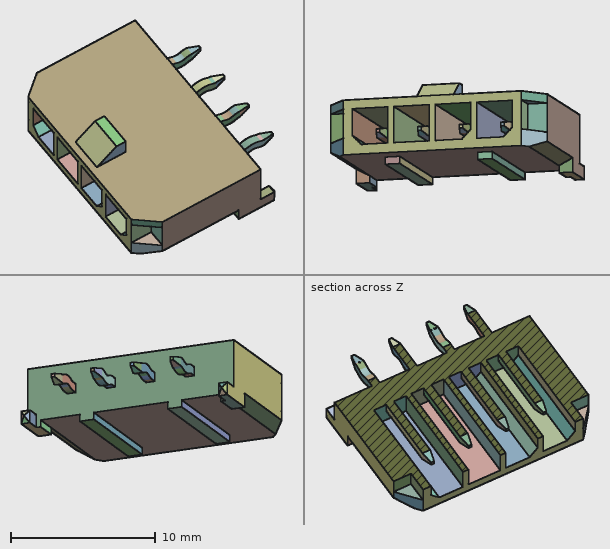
import cadquery as cq
import math


body_width = 15.65
body_depth = 9.9
body_height = 3.87
half_width = body_width / 2
corner_cut_x = 1.4
corner_cut_y = 1.67
bottom_bevel_width = 0.98
bottom_bevel_height = 0.52
bottom_bevel_end_y = 8.06

pin_pitch = 3.0
pin_size = 0.64
pin_tip_size = 0.24
pin_z = 1.97
pin_front_y = 2.0
pin_back_y = 13.08
pin_taper_length = 0.88
cavity_size = 2.55
cavity_bottom_z = 0.68
cavity_top_z = cavity_bottom_z + cavity_size
cavity_depth = 7.9
cavity_key = 0.65
cavity_key_sides = [-1, 0, 1, 1]
pin_count = len(cavity_key_sides)

kink_center_y = 11.29
kink_angle = math.radians(25)
kink_crest_inner_radius = 0.83
kink_end_inner_radius = 0.67

corner_pocket_bottom_z = 1.18

latch_width = 2.66
latch_height = 1.2
latch_foot_y = 0.55
latch_crest_y = 2.19
latch_back_y = 2.96

standoff_height = 0.5
rib_width = 1.05
rib_center_x = 3.335
rib_front_y = 1.61
peg_width = 0.66
peg_top_z = 0.43
peg_shoulder_y = 11.02
peg_tip_y = 11.3
peg_point_size = 0.01


def block(x0, x1, y0, y1, z0, z1):
    """Axis-aligned box between two opposite corners."""
    return cq.Workplane("XY").box(x1 - x0, y1 - y0, z1 - z0, centered=False).translate((x0, y0, z0))


def both_sides(shape):
    """A left-hand feature together with its mirror image across X = 0."""
    return shape.union(shape.mirror("YZ"))


def plane_facing_back(x, y, z):
    """Workplane looking along +Y, with its local x along -X and its local y along +Z."""
    return cq.Workplane(cq.Plane(origin=(x, y, z), xDir=(-1, 0, 0), normal=(0, 1, 0)))


def left_corner_triangle(z0, z1):
    """Prism that fills the left front corner, as seen in plan."""
    inner_x = -half_width + corner_cut_x
    return (
        cq.Workplane("XY", origin=(0, 0, z0))
        .polyline([(-half_width, 0), (inner_x, 0), (-half_width, corner_cut_y)])
        .close()
        .extrude(z1 - z0)
    )


def left_corner_pocket():
    """Square-cornered recess behind the cut face of the left front corner."""
    inner_x = -half_width + corner_cut_x
    return block(-half_width, inner_x, 0, corner_cut_y, corner_pocket_bottom_z, cavity_top_z)


def left_bottom_bevel():
    """Wedge along the lower left edge, stopping at the rear standoff."""
    return (
        plane_facing_back(-half_width, 0, 0)
        .polyline([(0, 0), (-bottom_bevel_width, 0), (0, bottom_bevel_height)])
        .close()
        .extrude(bottom_bevel_end_y)
    )


def cavity(x, key_side):
    """Blind square socket, optionally keyed by one cut lower corner."""
    half = cavity_size / 2
    socket = block(x - half, x + half, 0, cavity_depth, cavity_bottom_z, cavity_top_z)
    if key_side < 0:
        socket = socket.edges("|Y and <X and <Z").chamfer(cavity_key)
    elif key_side > 0:
        socket = socket.edges("|Y and >X and <Z").chamfer(cavity_key)
    return socket


def latch():
    """Ramp with a short flat crest and a vertical back."""
    top_z = body_height + latch_height
    return (
        cq.Workplane("YZ")
        .moveTo(latch_foot_y, body_height)
        .lineTo(latch_crest_y, top_z)
        .lineTo(latch_back_y, top_z)
        .lineTo(latch_back_y, body_height)
        .close()
        .extrude(latch_width / 2, both=True)
    )


def left_rib():
    """Bottom rib running back to the rear face."""
    half = rib_width / 2
    return block(-rib_center_x - half, -rib_center_x + half, rib_front_y, body_depth, -standoff_height, 0)


def left_standoff():
    """Foot at the lower rear corner, below the unbevelled stretch of the edge."""
    inner_x = -half_width + bottom_bevel_width
    return block(-half_width, inner_x, bottom_bevel_end_y, body_depth, -standoff_height, 0)


def left_peg():
    """Board peg behind the standoff, ending in a pyramid point."""
    height = peg_top_z + standoff_height
    center_x = -half_width + peg_width / 2
    center_z = peg_top_z - height / 2
    shank = block(
        -half_width, -half_width + peg_width, body_depth, peg_shoulder_y, -standoff_height, peg_top_z
    )
    point = (
        plane_facing_back(center_x, peg_shoulder_y, center_z)
        .rect(peg_width, height)
        .workplane(offset=peg_tip_y - peg_shoulder_y)
        .rect(peg_point_size, peg_point_size)
        .loft(ruled=True)
    )
    return shank.union(point)


def pin_taper(x, y_wide, y_narrow):
    """Four-sided taper from the full pin section to its blunt tip."""
    return (
        plane_facing_back(x, y_wide, pin_z)
        .rect(pin_size, pin_size)
        .workplane(offset=y_narrow - y_wide)
        .rect(pin_tip_size, pin_tip_size)
        .loft(ruled=True)
    )


def pin(x, bend):
    """Contact with two tapered ends; its tail is kinked up (bend = 1) or down (bend = -1)."""
    half = pin_size / 2
    wide_front_y = pin_front_y + pin_taper_length
    wide_back_y = pin_back_y - pin_taper_length

    center_distance = kink_crest_inner_radius + kink_end_inner_radius + pin_size
    half_span = center_distance * math.sin(kink_angle)
    end_center_z = half + kink_end_inner_radius
    crest_center_z = end_center_z - center_distance * math.cos(kink_angle)
    start_y = kink_center_y - half_span
    end_y = kink_center_y + half_span

    def crest_point(radius, angle):
        y = kink_center_y + radius * math.sin(angle)
        return (y, bend * (crest_center_z + radius * math.cos(angle)))

    def end_point(side, radius, angle):
        y = kink_center_y + side * (half_span - radius * math.sin(angle))
        return (y, bend * (end_center_z - radius * math.cos(angle)))

    crest_inner = kink_crest_inner_radius
    crest_outer = crest_inner + pin_size
    end_inner = kink_end_inner_radius
    end_outer = end_inner + pin_size

    shank = (
        cq.Workplane("YZ", origin=(x, 0, pin_z))
        .moveTo(wide_front_y, bend * half)
        .lineTo(start_y, bend * half)
        .threePointArc(end_point(-1, end_inner, kink_angle / 2), end_point(-1, end_inner, kink_angle))
        .threePointArc(crest_point(crest_outer, 0), crest_point(crest_outer, kink_angle))
        .threePointArc(end_point(1, end_inner, kink_angle / 2), (end_y, bend * half))
        .lineTo(wide_back_y, bend * half)
        .lineTo(wide_back_y, -bend * half)
        .lineTo(end_y, -bend * half)
        .threePointArc(end_point(1, end_outer, kink_angle / 2), end_point(1, end_outer, kink_angle))
        .threePointArc(crest_point(crest_inner, 0), crest_point(crest_inner, -kink_angle))
        .threePointArc(end_point(-1, end_outer, kink_angle / 2), (start_y, -bend * half))
        .lineTo(wide_front_y, -bend * half)
        .close()
        .extrude(half, both=True)
    )
    front_taper = pin_taper(x, wide_front_y, pin_front_y)
    back_taper = pin_taper(x, wide_back_y, pin_back_y)
    return shank.union(front_taper).union(back_taper)


result = block(-half_width, half_width, 0, body_depth, 0, body_height)
result = result.cut(both_sides(left_corner_triangle(0, body_height)))
result = result.cut(both_sides(left_corner_pocket()))
result = result.cut(both_sides(left_bottom_bevel()))

result = result.union(latch())
result = result.union(both_sides(left_rib()))
result = result.union(both_sides(left_standoff()))
result = result.union(both_sides(left_peg()))

for index, key_side in enumerate(cavity_key_sides):
    pin_x = (index - (pin_count - 1) / 2) * pin_pitch
    pin_bend = -1 if index % 2 == 0 else 1
    result = result.cut(cavity(pin_x, key_side))
    result = result.union(pin(pin_x, pin_bend))